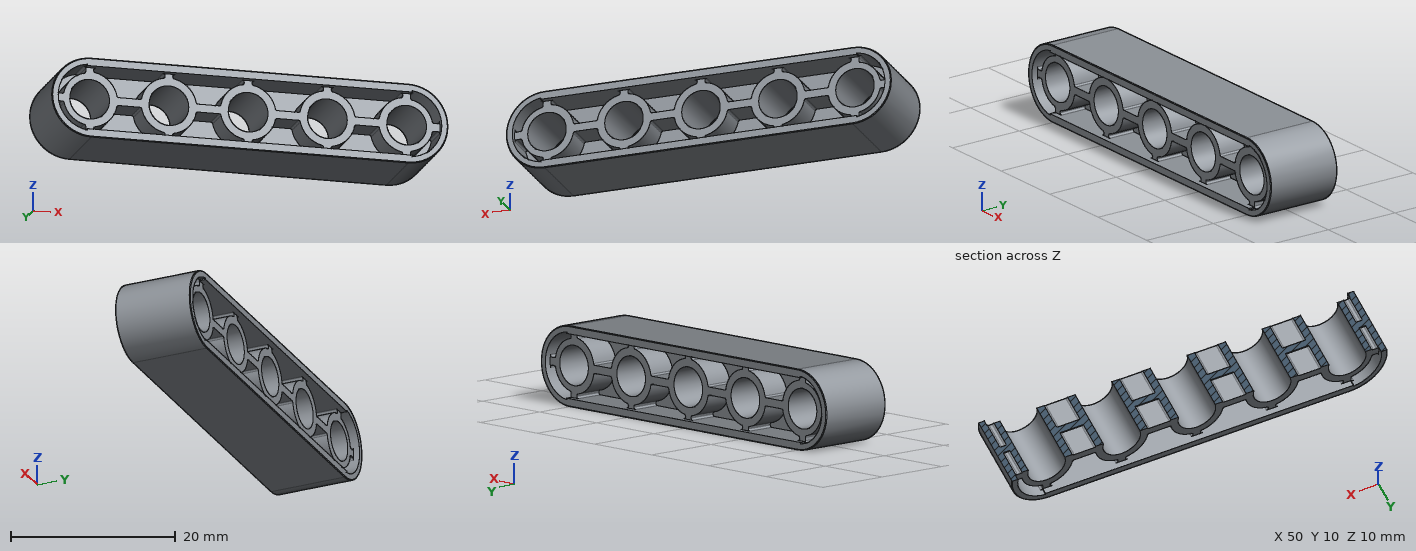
import cadquery as cq

length = 50.0
height = 10.0
thickness = 10.0
edge_chamfer = 0.1
hole_count = 5
hole_diameter = 5.0

wall_half_gap = 4.0
end_radius = 4.2
collar_radius = 3.5
end_collar_radius = 3.3
rib_width = 1.0
recess_depth = 0.8
floor_thickness = 1.0
corner_fillet = 0.25

pitch = (length - height) / (hole_count - 1)
hole_positions = [(i - (hole_count - 1) / 2) * pitch for i in range(hole_count)]
end_offset = hole_positions[-1]
end_rib_flank = end_offset + rib_width / 2
cavity_depth = (thickness - floor_thickness) / 2


def cylinder(radius, depth, x):
    """Cylinder along Y whose front end lies in the face y = -thickness / 2."""
    plane = cq.Workplane("XZ", origin=(x, -thickness / 2, 0))
    return plane.circle(radius).extrude(-depth)


def block(x_min, x_max, size_z, depth):
    """Box centred in Z that starts at the face y = -thickness / 2."""
    box = cq.Workplane("XY").box(x_max - x_min, depth, size_z)
    return box.translate(((x_min + x_max) / 2, (depth - thickness) / 2, 0))


def between_ends(depth, size_z):
    """Box that reaches to the outer flanks of the two end ribs."""
    return block(-end_rib_flank, end_rib_flank, size_z, depth)


def cavity(depth):
    """Hollow inside the outer wall, slightly wider at its rounded ends."""
    hollow = between_ends(depth, 2 * wall_half_gap)
    for x in (-end_offset, end_offset):
        rounded_end = cylinder(end_radius, depth, x)
        hollow = hollow.union(rounded_end.cut(between_ends(depth, height)))
    return hollow


def skeleton():
    """Collars, upright ribs and web that stand inside a cavity."""
    frame = block(-length / 2, length / 2, rib_width, cavity_depth)
    inner_zone = between_ends(cavity_depth, height)
    for x in hole_positions:
        frame = frame.union(block(x - rib_width / 2, x + rib_width / 2, height, cavity_depth))
        frame = frame.union(cylinder(collar_radius, cavity_depth, x).intersect(inner_zone))
        frame = frame.union(cylinder(end_collar_radius, cavity_depth, x))
    return frame


body = (
    cq.Workplane("XZ")
    .slot2D(length, height)
    .extrude(thickness / 2, both=True)
    .faces("<Y or >Y")
    .chamfer(edge_chamfer)
)

pockets = cavity(cavity_depth).cut(skeleton()).edges("|Y").fillet(corner_fillet)
hollow_side = pockets.union(cavity(recess_depth))
body = body.cut(hollow_side).cut(hollow_side.mirror("XZ"))

for hole_x in hole_positions:
    body = body.cut(cylinder(hole_diameter / 2, thickness, hole_x))

result = body